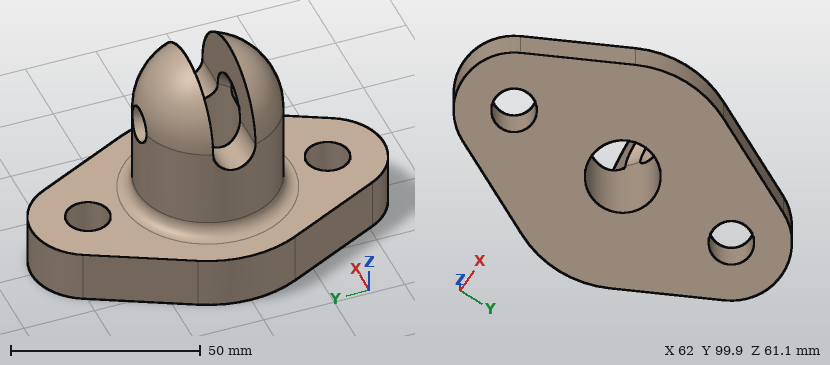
import cadquery as cq
import math

flange_length = 99.9
flange_width = 62.0
flange_thickness = 15
end_radius = 16
bolt_hole_diameter = 12

post_diameter = 40
base_fillet = 4
dome_center_z = 42.0
slot_width = 12
pin_hole_diameter = 10
bore_diameter = 20

side_radius = flange_width / 2
bolt_offset = flange_length / 2 - end_radius
post_radius = post_diameter / 2
dome_top_z = dome_center_z + post_radius


def make_flange():
    tangent_angle = math.asin((side_radius - end_radius) / bolt_offset)
    normal_x = math.cos(tangent_angle)
    normal_y = math.sin(tangent_angle)
    side_x = side_radius * normal_x
    side_y = side_radius * normal_y
    end_x = end_radius * normal_x
    end_y = bolt_offset + end_radius * normal_y
    return (
        cq.Workplane("XY")
        .moveTo(side_x, -side_y)
        .threePointArc((side_radius, 0), (side_x, side_y))
        .lineTo(end_x, end_y)
        .threePointArc((0, flange_length / 2), (-end_x, end_y))
        .lineTo(-side_x, side_y)
        .threePointArc((-side_radius, 0), (-side_x, -side_y))
        .lineTo(-end_x, -end_y)
        .threePointArc((0, -flange_length / 2), (end_x, -end_y))
        .close()
        .extrude(flange_thickness)
    )


def make_post():
    """Revolve the half profile of the post, its foot fillet and its dome."""
    fillet_top_z = flange_thickness + base_fillet
    foot_radius = post_radius + base_fillet
    fillet_reach = base_fillet * (1 - math.sqrt(0.5))
    dome_mid = post_radius * math.sqrt(0.5)
    return (
        cq.Workplane("XZ")
        .lineTo(foot_radius, 0)
        .lineTo(foot_radius, flange_thickness)
        .threePointArc(
            (post_radius + fillet_reach, flange_thickness + fillet_reach),
            (post_radius, fillet_top_z),
        )
        .lineTo(post_radius, dome_center_z)
        .threePointArc((dome_mid, dome_center_z + dome_mid), (0, dome_top_z))
        .close()
        .revolve(360, (0, 0), (0, 1))
    )


def make_slot():
    """Slot along X with a round bottom centered at the dome center."""
    round_bottom = (
        cq.Workplane("YZ")
        .center(0, dome_center_z)
        .circle(slot_width / 2)
        .extrude(post_radius, both=True)
    )
    straight_part = cq.Workplane("XY", origin=(0, 0, dome_center_z)).box(
        post_diameter, slot_width, post_radius, centered=(True, True, False)
    )
    return round_bottom.union(straight_part)


bolt_holes = (
    cq.Workplane("XY")
    .pushPoints([(0, -bolt_offset), (0, bolt_offset)])
    .circle(bolt_hole_diameter / 2)
    .extrude(flange_thickness)
)
pin_hole = (
    cq.Workplane("ZX", origin=(0, -post_diameter, dome_center_z))
    .circle(pin_hole_diameter / 2)
    .extrude(2 * post_diameter)
)
bore_end = cq.Workplane("XY", origin=(0, 0, dome_center_z)).sphere(bore_diameter / 2)
bore = cq.Workplane("XY").circle(bore_diameter / 2).extrude(dome_center_z).union(bore_end)

result = make_flange().union(make_post())
for cutter in (bolt_holes, pin_hole, make_slot(), bore):
    result = result.cut(cutter)